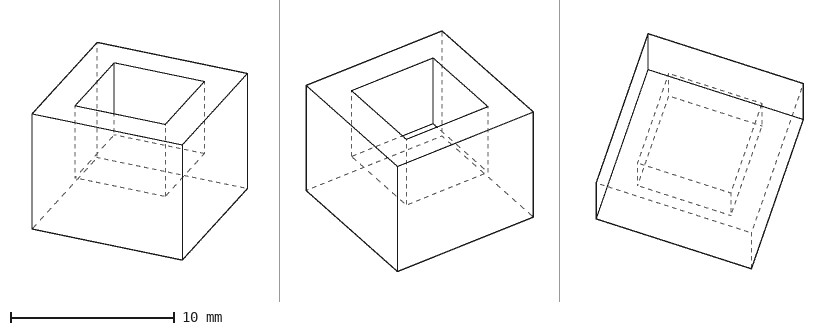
import cadquery as cq

block_side = 10
block_height = 8

wall_thickness = 2
pocket_depth = 5
pocket_side = block_side - 2 * wall_thickness

block = cq.Workplane("XY").box(block_side, block_side, block_height, centered=(True, True, False))

result = block.faces(">Z").workplane().rect(pocket_side, pocket_side).cutBlind(-pocket_depth)